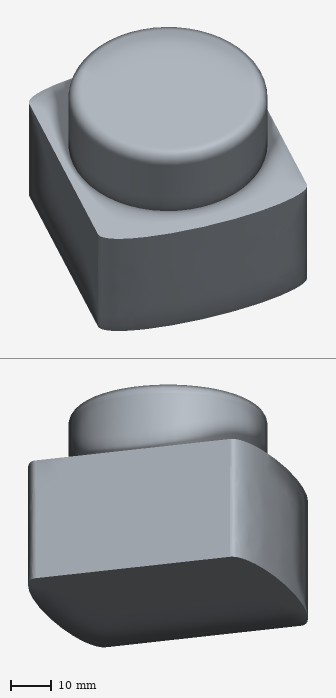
import cadquery as cq

LENGTH = 63.2
WIDTH = 54.8
TOTAL_HEIGHT = 49.25

FLAT_LENGTH = 50.8
BULGE = (LENGTH - FLAT_LENGTH) / 2

BASE_HEIGHT = 23.7
PLATE_THICKNESS = 7.15
PLATE_TOP = BASE_HEIGHT + PLATE_THICKNESS

KNOB_DIAMETER = 49.25
KNOB_HEIGHT = TOTAL_HEIGHT - PLATE_TOP
KNOB_ROUNDING = 3.05


def outline_block(bottom, height):
    """Block with two flat sides and two half-ellipse sides."""
    half_flat = FLAT_LENGTH / 2
    half_width = WIDTH / 2
    return (
        cq.Workplane("XY", origin=(0, 0, bottom))
        .moveTo(-half_flat, -half_width)
        .lineTo(half_flat, -half_width)
        .ellipseArc(BULGE, half_width, -90, 90, startAtCurrent=True)
        .lineTo(-half_flat, half_width)
        .ellipseArc(BULGE, half_width, 90, 270, startAtCurrent=True)
        .close()
        .extrude(height)
    )


def make_base():
    return outline_block(0, BASE_HEIGHT)


def make_cover():
    """Cover plate carrying a round knob with a rounded top edge."""
    plate = outline_block(BASE_HEIGHT, PLATE_THICKNESS)
    knob = (
        cq.Workplane("XY", origin=(0, 0, PLATE_TOP))
        .circle(KNOB_DIAMETER / 2)
        .extrude(KNOB_HEIGHT)
        .faces(">Z")
        .edges()
        .fillet(KNOB_ROUNDING)
    )
    return plate.union(knob)


base = make_base()
cover = make_cover()
result = cq.Compound.makeCompound([base.val(), cover.val()])